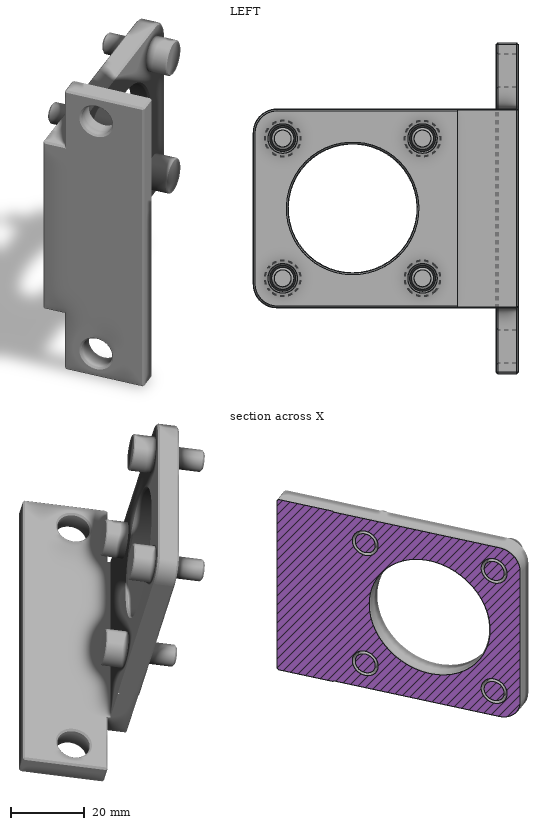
import cadquery as cq


edge_break = 0.5

pad_thickness = 5.85
pad_height = 54.0
pad_end_y = 72.0
pad_corner_radius = 6.5
bore_diameter = 35.0
bore_y = pad_end_y - pad_height / 2

foot_setback = 0.225
foot_end_y = 16.6
foot_edge_break = 0.25
foot_overlap = 1.1

flange_start_x = 6.5
flange_end_x = 30.0
flange_thickness = 6.0
flange_height = 90.0
flange_hole_diameter = 9.0
flange_hole_spacing = 75.0
flange_hole_edge_distance = 14.0
flange_hole_x = flange_end_x - flange_hole_edge_distance

screw_spacing = 38.0
screw_diameter = 6.0
screw_hole_diameter = 7.0
screw_tip_x = -8.2
screw_tip_length = 0.6
screw_tip_inset = 0.7
under_head_radius = 0.3
head_diameter = 10.0
head_height = 6.0
head_edge_break = 0.3


def centred_block(start_x, end_x, start_y, end_y, height):
    """Block with given X and Y limits, centred on Z = 0."""
    return cq.Workplane("XY").box(
        end_x - start_x, end_y - start_y, height, centered=(False, False, True)
    ).translate((start_x, start_y, 0))


def countersunk_cutter(diameter, depth):
    """Through-hole cutter along +Z from Z = 0, widened at both ends by the edge break."""
    radius = diameter / 2
    rim_radius = radius + edge_break
    return (
        cq.Workplane("XZ")
        .moveTo(0, 0)
        .lineTo(rim_radius, 0)
        .lineTo(radius, edge_break)
        .lineTo(radius, depth - edge_break)
        .lineTo(rim_radius, depth)
        .lineTo(0, depth)
        .close()
        .revolve(360, (0, 0, 0), (0, 1, 0))
    )


def along_x(shape):
    """Turn a shape built along +Z so that it runs along +X."""
    return shape.rotate((0, 0, 0), (0, 1, 0), 90)


def along_y(shape):
    """Turn a shape built along +Z so that it runs along +Y."""
    return shape.rotate((0, 0, 0), (1, 0, 0), -90)


def screw_positions():
    """Y and Z of the four screws, on a square around the bore."""
    half = screw_spacing / 2
    return [(bore_y + y, z) for y in (-half, half) for z in (-half, half)]


def make_pad():
    """Plate with two rounded corners, a bore and four clearance holes."""
    pad = centred_block(0, pad_thickness, foot_end_y, pad_end_y, pad_height)
    pad = pad.edges("|X and >Y").fillet(pad_corner_radius)
    for face in ("<X", ">X"):
        pad = pad.faces(face).edges("not <Y").chamfer(edge_break)
    bore = along_x(countersunk_cutter(bore_diameter, pad_thickness))
    pad = pad.cut(bore.translate((0, bore_y, 0)))
    screw_hole = along_x(countersunk_cutter(screw_hole_diameter, pad_thickness))
    for y, z in screw_positions():
        pad = pad.cut(screw_hole.translate((0, y, z)))
    return pad


def make_foot():
    """Upright leg plus a toe that reaches into the flange."""
    leg = centred_block(foot_setback, pad_thickness, 0, foot_end_y, pad_height)
    toe_end_x = flange_start_x + foot_overlap
    toe = centred_block(foot_setback, toe_end_x, 0, flange_thickness, pad_height)
    foot = leg.union(toe)
    foot = foot.faces("<Y").edges("not >X").chamfer(edge_break)
    return foot.faces("<X").edges("|Y").chamfer(foot_edge_break)


def make_flange():
    """Tall plate with every outer edge broken and two mounting holes."""
    flange = centred_block(flange_start_x, flange_end_x, 0, flange_thickness, flange_height)
    flange = flange.edges().chamfer(edge_break)
    hole = along_y(countersunk_cutter(flange_hole_diameter, flange_thickness))
    for z in (-flange_hole_spacing / 2, flange_hole_spacing / 2):
        flange = flange.cut(hole.translate((flange_hole_x, 0, z)))
    return flange


def make_screw():
    """Cap screw along X with a rounded root under its head, seated on the +X pad face."""
    shank_radius = screw_diameter / 2
    root_radius = shank_radius + under_head_radius
    head_radius = head_diameter / 2
    head_end_x = pad_thickness + head_height
    return (
        cq.Workplane("XY")
        .moveTo(screw_tip_x, 0)
        .lineTo(screw_tip_x, shank_radius - screw_tip_inset)
        .lineTo(screw_tip_x + screw_tip_length, shank_radius)
        .lineTo(pad_thickness - under_head_radius, shank_radius)
        .radiusArc((pad_thickness, root_radius), -under_head_radius)
        .lineTo(pad_thickness, head_radius)
        .lineTo(head_end_x - head_edge_break, head_radius)
        .lineTo(head_end_x, head_radius - head_edge_break)
        .lineTo(head_end_x, 0)
        .close()
        .revolve(360, (0, 0, 0), (1, 0, 0))
    )


result = make_pad().union(make_foot()).union(make_flange())
screw = make_screw()
for screw_y, screw_z in screw_positions():
    result = result.union(screw.translate((0, screw_y, screw_z)))